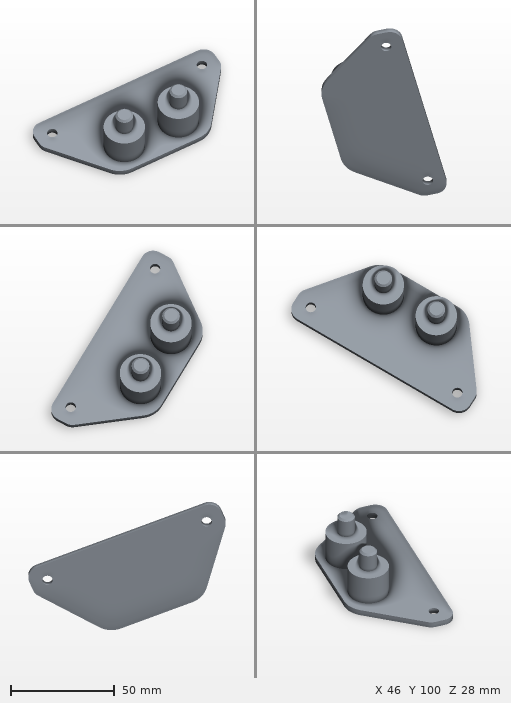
import cadquery as cq

plate_width = 46.0
plate_length = 100.0
plate_thickness = 3.0
end_edge_width = 12.9
short_edge_length = 49.0
end_corner_radius = 6.0
short_edge_corner_radius = 12.0

hole_diameter = 5.0
hole_x = 8.5
hole_spacing = 83.0

post_x = 32.2
post_spacing = 30.0
boss_diameter = 20.0
boss_height = 15.0
pin_diameter = 8.5
pin_height = 10.0
pin_chamfer = 1.0


def mirrored_pair(x, spacing):
    """Two points placed evenly about the X axis."""
    return [(x, -spacing / 2), (x, spacing / 2)]


def make_plate():
    half_length = plate_length / 2
    half_short_edge = short_edge_length / 2
    outline = [
        (0, -half_length),
        (end_edge_width, -half_length),
        (plate_width, -half_short_edge),
        (plate_width, half_short_edge),
        (end_edge_width, half_length),
        (0, half_length),
    ]
    plate = cq.Workplane("XY").polyline(outline).close().extrude(plate_thickness)
    plate = plate.edges("|Z and >X").fillet(short_edge_corner_radius)
    plate = plate.edges("|Z and <X").fillet(end_corner_radius)
    for end_y in (-half_length, half_length):
        corner = cq.selectors.NearestToPointSelector((end_edge_width, end_y, plate_thickness / 2))
        plate = plate.edges("|Z").edges(corner).fillet(end_corner_radius)
    holes = (
        cq.Workplane("XY")
        .pushPoints(mirrored_pair(hole_x, hole_spacing))
        .circle(hole_diameter / 2)
        .extrude(plate_thickness)
    )
    return plate.cut(holes)


def make_post():
    """A boss carrying a slimmer pin with a chamfered tip."""
    boss = cq.Workplane("XY").circle(boss_diameter / 2).extrude(boss_height)
    pin = (
        cq.Workplane("XY")
        .workplane(offset=boss_height)
        .circle(pin_diameter / 2)
        .extrude(pin_height)
        .faces(">Z")
        .chamfer(pin_chamfer)
    )
    return boss.union(pin)


result = make_plate()
for x, y in mirrored_pair(post_x, post_spacing):
    result = result.union(make_post().translate((x, y, plate_thickness)))